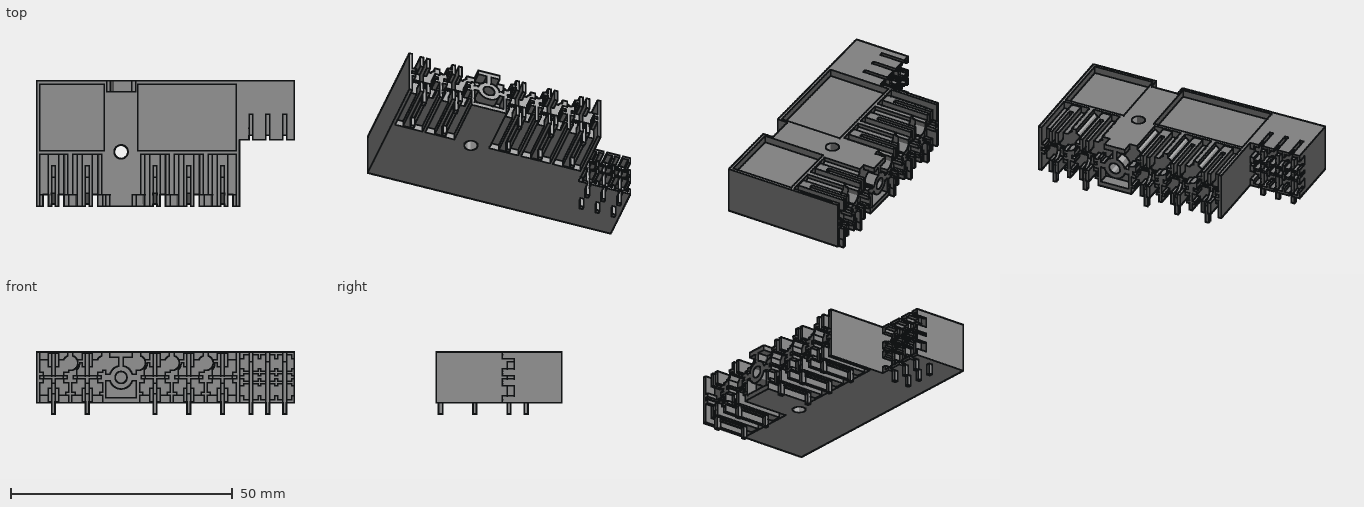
import cadquery as cq
import math

LENGTH = 58.1
WIDTH = 28.3
HEIGHT = 11.5
MID_Z = HEIGHT / 2
PIN_DROP = 2.5
WALL = 0.75

BAY_LENGTH = 45.75
PITCH_COUNT = 6
PITCH = BAY_LENGTH / PITCH_COUNT
TERMINAL_SLOTS = (0, 1, 3, 4, 5)
MOUNT_SLOT = 2
MOUNT_X = (MOUNT_SLOT + 0.5) * PITCH
PLAIN_DIVIDERS = (1, 4, 5)
MOUNT_LEFT, MOUNT_RIGHT = MOUNT_SLOT * PITCH, (MOUNT_SLOT + 1) * PITCH
RECESS_DEPTH = 2.6
CHANNEL_END = 11.75
FLOOR_RISE = 4.0

BLOCK_HALF_WIDTH = 1.45
BLOCK_RISE = 1.2
STEM_HALF = 0.35
END_BLOCK_WIDTH = 1.5
LUG_REACH = 1.05
LUG_THICKNESS = 0.7
WIRE_RADIUS = 1.7
WIRE_RISE = 3.25
WIRE_WALL = 0.4
RIB_HALF_WIDTH = 0.6

RAIL_HALF_WIDTH = 1.15
RAIL_INNER_RISE = 2.45
RAIL_OUTER_RISE = 5.45
BLADE_WIDTH = 0.8
SLOT_END = 9.1
BLADE_FRONT = 0.45
BLADE_SHOULDER = 2.9
WING_END = 6.55
WING_HALF_WIDTH = 2.2
WING_SLOT_HALF_WIDTH = 3.15
WING_THICKNESS = 0.7
TAPER_BOTTOM = 2.05
FRONT_PIN_LENGTH = 1.05
PIN_LENGTH = 0.9

BOSS_RADIUS = 2.6
BOSS_BORE_RADIUS = 1.35
BOSS_BORE_DEPTH = 8.7
SHELF_HALF = 0.7
CAP_HALF_WIDTH = 2.55
CAP_RISE = 4.55
WEB_HALF_WIDTH = 0.5
SCREW_Y = 12.25
SCREW_RADIUS = 1.5
NOTCH_HALF_WIDTH = 3.25
NOTCH_DEPTH = 2.5
NOTCH_FLOOR_RISE = 1.0

POCKET_FRONT = CHANNEL_END + WALL
POCKET_BACK = WIDTH - WALL
POCKET_HALF_GAP = 3.8

SMALL_FRONT = 14.95
SMALL_PITCH = PITCH / 2
SMALL_FIRST_X = 48.3
SMALL_COUNT = 3
SMALL_SLOT_END = 20.7
SMALL_BLADE_FRONT = 16.0
SMALL_BLADE_TOP = HEIGHT - 2.25
TOOTH_WIDTH = 0.6
SMALL_ROWS = (
    (-5.05, -1.4, 0.9, 0.5),
    (-0.9, 0.9, 0.5, 0.5),
    (1.4, 5.05, 0.5, 0.9),
)


def box(x0, x1, y0, y1, z0, z1):
    return cq.Workplane("XY").box(x1 - x0, y1 - y0, z1 - z0, centered=False).translate((x0, y0, z0))


def centered_box(x, half_width, y0, y1, z0, z1):
    return box(x - half_width, x + half_width, y0, y1, z0, z1)


def cylinder_y(x, z, radius, y0, y1):
    return cq.Workplane("XZ", origin=(x, y0, z)).circle(radius).extrude(y0 - y1)


def slot_center(index):
    return (index + 0.5) * PITCH


def housing_block():
    bay = box(0, BAY_LENGTH, 0, WIDTH, 0, HEIGHT)
    return bay.union(box(BAY_LENGTH, LENGTH, SMALL_FRONT, WIDTH, 0, HEIGHT))


def hollow_bay(body):
    """Clear the front recess and the channels that run back from it above and below."""
    inner_left, inner_right = WALL, BAY_LENGTH - WALL
    body = body.cut(box(inner_left, inner_right, 0, RECESS_DEPTH, 0, HEIGHT))
    for left, right in ((inner_left, MOUNT_LEFT), (MOUNT_RIGHT, inner_right)):
        body = body.cut(box(left, right, RECESS_DEPTH, CHANNEL_END, MID_Z + FLOOR_RISE, HEIGHT))
        body = body.cut(box(left, right, RECESS_DEPTH, CHANNEL_END, 0, MID_Z - FLOOR_RISE))
    return body


def wire_ridge(x):
    return cylinder_y(x, MID_Z + WIRE_RISE, WIRE_RADIUS, RECESS_DEPTH, CHANNEL_END)


def channel_ribs(x):
    """Ribs that part the upper and lower channels; the upper one stands on a rounded ridge."""
    ribs = centered_box(x, RIB_HALF_WIDTH, RECESS_DEPTH, CHANNEL_END, MID_Z, HEIGHT)
    ribs = ribs.union(centered_box(x, STEM_HALF, RECESS_DEPTH, CHANNEL_END, 0, MID_Z))
    return ribs.union(wire_ridge(x))


def divider_base(x):
    """Block, stem and lugs that stand in the front recess between two terminals."""
    lug_bottom = MID_Z - FLOOR_RISE
    base = centered_box(x, BLOCK_HALF_WIDTH, 0, RECESS_DEPTH, MID_Z - BLOCK_RISE, MID_Z + BLOCK_RISE)
    base = base.union(centered_box(x, STEM_HALF, 0, RECESS_DEPTH, 0, MID_Z + WIRE_RISE - WIRE_RADIUS))
    return base.union(
        centered_box(x, LUG_REACH, 0, RECESS_DEPTH, lug_bottom, lug_bottom + LUG_THICKNESS)
    )


def wire_guide(x):
    """Curved wall that climbs from a divider to the rail of the terminal on its right."""
    outer_radius = WIRE_RADIUS + WIRE_WALL
    rail_x = PITCH / 2 - RAIL_HALF_WIDTH
    top = FLOOR_RISE - WIRE_RISE
    top_x = math.sqrt(WIRE_RADIUS**2 - top**2)
    foot_drop = math.sqrt(outer_radius**2 - BLOCK_HALF_WIDTH**2)
    diagonal = WIRE_RADIUS * math.sqrt(0.5)
    start_x = 0 if x in (MOUNT_LEFT, MOUNT_RIGHT) else -STEM_HALF
    start_drop = math.sqrt(WIRE_RADIUS**2 - start_x**2)
    outer_angle = math.atan2(foot_drop, BLOCK_HALF_WIDTH) / 2
    outer_mid = (outer_radius * math.cos(outer_angle), -outer_radius * math.sin(outer_angle))
    block_top = BLOCK_RISE - WIRE_RISE
    outline = (
        cq.Workplane("XZ", origin=(x, 0, MID_Z + WIRE_RISE))
        .moveTo(start_x, -start_drop)
        .threePointArc((diagonal, -diagonal), (top_x, top))
        .lineTo(rail_x, top)
        .lineTo(rail_x, 0)
        .lineTo(outer_radius, 0)
        .threePointArc(outer_mid, (BLOCK_HALF_WIDTH, -foot_drop))
        .lineTo(BLOCK_HALF_WIDTH, block_top)
        .lineTo(start_x, block_top)
        .close()
    )
    return outline.extrude(-RECESS_DEPTH)


def add_dividers(body):
    """Fill between the terminals; the two middle dividers bound the solid mount body."""
    for index in PLAIN_DIVIDERS:
        body = body.union(channel_ribs(index * PITCH))
    for x in (MOUNT_LEFT, MOUNT_RIGHT):
        body = body.union(wire_ridge(x))
    for half_width, bottom, top in ((RIB_HALF_WIDTH, MID_Z, HEIGHT), (STEM_HALF, 0, MID_Z)):
        left, right = MOUNT_LEFT - half_width, MOUNT_RIGHT + half_width
        body = body.union(box(left, right, RECESS_DEPTH, CHANNEL_END, bottom, top))
    for index in range(1, PITCH_COUNT):
        body = body.union(divider_base(index * PITCH))
        body = body.union(wire_guide(index * PITCH))
    for left, right in ((0, END_BLOCK_WIDTH), (BAY_LENGTH - END_BLOCK_WIDTH, BAY_LENGTH)):
        body = body.union(box(left, right, 0, RECESS_DEPTH, MID_Z - BLOCK_RISE, MID_Z + BLOCK_RISE))
    return body


def add_mount(body):
    """Boss with blind bore, held by side shelves, a web and a cap over a lower window."""
    inner_left, inner_right = MOUNT_LEFT + STEM_HALF, MOUNT_RIGHT - STEM_HALF
    body = body.union(box(inner_left, inner_right, 0, RECESS_DEPTH, 0, MID_Z + SHELF_HALF))
    body = body.cut(box(inner_left, inner_right, 0, RECESS_DEPTH, MID_Z + SHELF_HALF, HEIGHT))
    body = body.cut(
        box(inner_left, inner_right, 0, RECESS_DEPTH, MID_Z - CAP_RISE, MID_Z - SHELF_HALF)
    )
    body = body.union(centered_box(MOUNT_X, WEB_HALF_WIDTH, 0, RECESS_DEPTH, MID_Z, HEIGHT))
    body = body.union(centered_box(MOUNT_X, CAP_HALF_WIDTH, 0, RECESS_DEPTH, MID_Z + CAP_RISE, HEIGHT))
    body = body.cut(
        centered_box(MOUNT_X, NOTCH_HALF_WIDTH, WIDTH - NOTCH_DEPTH, WIDTH, MID_Z + NOTCH_FLOOR_RISE, HEIGHT)
    )
    body = body.union(cylinder_y(MOUNT_X, MID_Z, BOSS_RADIUS, 0, RECESS_DEPTH))
    body = body.union(cylinder_y(MOUNT_X, MID_Z, BOSS_RADIUS, WIDTH - NOTCH_DEPTH, WIDTH))
    body = body.cut(cylinder_y(MOUNT_X, MID_Z, BOSS_BORE_RADIUS, 0, BOSS_BORE_DEPTH))
    screw = cq.Workplane("XY").center(MOUNT_X, SCREW_Y).circle(SCREW_RADIUS).extrude(HEIGHT)
    return body.cut(screw)


def cut_pockets(body):
    spans = ((WALL, MOUNT_X - POCKET_HALF_GAP), (MOUNT_X + POCKET_HALF_GAP, BAY_LENGTH - WALL))
    for left, right in spans:
        body = body.cut(box(left, right, POCKET_FRONT, POCKET_BACK, MID_Z + FLOOR_RISE, HEIGHT))
    return body


def contact(x):
    """Tapered blade with side wings and two solder pins."""
    wing_bottom = MID_Z - WING_THICKNESS / 2
    wing_top = MID_Z + WING_THICKNESS / 2
    taper_top = TAPER_BOTTOM + BLADE_SHOULDER - BLADE_FRONT
    blade = (
        cq.Workplane("YZ", origin=(x, 0, 0))
        .polyline([
            (BLADE_FRONT, -PIN_DROP),
            (BLADE_FRONT, TAPER_BOTTOM),
            (BLADE_SHOULDER, taper_top),
            (BLADE_SHOULDER, wing_top),
            (WING_END, wing_top),
            (WING_END, wing_bottom),
            (SLOT_END, wing_bottom),
            (SLOT_END, -PIN_DROP),
            (SLOT_END - PIN_LENGTH, -PIN_DROP),
            (SLOT_END - PIN_LENGTH, 0),
            (BLADE_FRONT + FRONT_PIN_LENGTH, 0),
            (BLADE_FRONT + FRONT_PIN_LENGTH, -PIN_DROP),
        ])
        .close()
        .extrude(BLADE_WIDTH / 2, both=True)
    )
    return blade.union(
        centered_box(x, WING_HALF_WIDTH, BLADE_SHOULDER, WING_END, wing_bottom, wing_top)
    )


def add_terminal(body, x):
    """Upper and lower rails, slotted for a contact whose wings reach into the dividers."""
    for side in (-1, 1):
        z0, z1 = sorted((MID_Z + side * RAIL_INNER_RISE, MID_Z + side * RAIL_OUTER_RISE))
        body = body.union(centered_box(x, RAIL_HALF_WIDTH, 0, CHANNEL_END, z0, z1))
    body = body.cut(centered_box(x, BLADE_WIDTH / 2, 0, SLOT_END, 0, HEIGHT))
    body = body.cut(
        centered_box(x, WING_SLOT_HALF_WIDTH, 0, WING_END,
                     MID_Z - WING_THICKNESS / 2, MID_Z + WING_THICKNESS / 2)
    )
    return body.union(contact(x))


def cut_small_recess(body):
    """Three stacked recesses, pinched by teeth midway between the small terminals."""
    recess_end = SMALL_FRONT + RECESS_DEPTH
    for low, high, lower_tooth, upper_tooth in SMALL_ROWS:
        z0, z1 = MID_Z + low, MID_Z + high
        recess = box(BAY_LENGTH, LENGTH, SMALL_FRONT, recess_end, z0, z1)
        for index in range(SMALL_COUNT + 1):
            tooth_x = SMALL_FIRST_X + (index - 0.5) * SMALL_PITCH
            left = BAY_LENGTH if index == 0 else tooth_x - TOOTH_WIDTH / 2
            right = LENGTH if index == SMALL_COUNT else tooth_x + TOOTH_WIDTH / 2
            recess = recess.cut(box(left, right, SMALL_FRONT, recess_end, z0, z0 + lower_tooth))
            recess = recess.cut(box(left, right, SMALL_FRONT, recess_end, z1 - upper_tooth, z1))
        body = body.cut(recess)
    return body


def add_small_terminal(body, x):
    """Slot in the front edge, filled from its foot by a blade with two solder pins."""
    half = BLADE_WIDTH / 2
    body = body.cut(centered_box(x, half, SMALL_FRONT, SMALL_SLOT_END, 0, HEIGHT))
    body = body.union(centered_box(x, half, SMALL_BLADE_FRONT, SMALL_SLOT_END, 0, SMALL_BLADE_TOP))
    for pin_y in (SMALL_BLADE_FRONT, SMALL_SLOT_END - PIN_LENGTH):
        body = body.union(centered_box(x, half, pin_y, pin_y + PIN_LENGTH, -PIN_DROP, 0))
    return body


part = hollow_bay(housing_block())
part = add_dividers(part)
part = add_mount(part)
part = cut_pockets(part)
for slot in TERMINAL_SLOTS:
    part = add_terminal(part, slot_center(slot))
part = cut_small_recess(part)
for number in range(SMALL_COUNT):
    part = add_small_terminal(part, SMALL_FIRST_X + number * SMALL_PITCH)

result = part